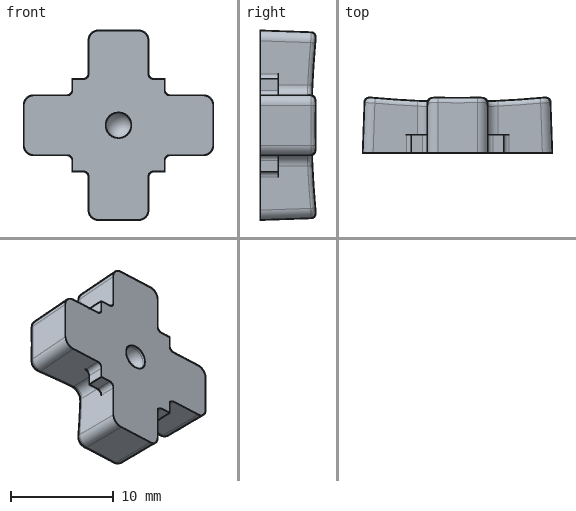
import cadquery as cq
import math

SPAN = 18.5
ARM_WIDTH = 5.87
TIP_DRAFT = 2.0
TIP_CORNER_RADIUS = 1.0
INNER_CORNER_RADIUS = 1.0
RIM_RADIUS = 0.5

DISH_RADIUS = 88.0
DISH_FLOOR = 4.99
BLANK_HEIGHT = 6.5
SELECTION_MARGIN = 0.5

STEP_SPAN = 9.03
STEP_HEIGHT = 1.77
STEP_FILLET = 0.5
PLATE_OVERLAP = 1.0

HOLE_DIAMETER = 2.5
HOLE_STRAIGHT_DEPTH = 0.3


def on_base():
    """XZ workplane whose normal points along +Y, so extrusions rise from the base."""
    return cq.Workplane("XZ").transformed(rotate=(180, 0, 0))


def drafted_bar():
    """One bar along X with drafted ends, rounded at its four tip corners."""
    half_base = SPAN / 2
    half_top = half_base - BLANK_HEIGHT * math.tan(math.radians(TIP_DRAFT))
    bar = (
        cq.Workplane("XY")
        .polyline([
            (-half_base, 0),
            (half_base, 0),
            (half_top, BLANK_HEIGHT),
            (-half_top, BLANK_HEIGHT),
        ])
        .close()
        .extrude(ARM_WIDTH / 2, both=True)
    )
    tip_edges = bar.faces("<X or >X").edges("<Z or >Z")
    return tip_edges.fillet(TIP_CORNER_RADIUS)


def cross_block():
    """Two crossed bars with rounded inner corners."""
    bar = drafted_bar()
    crossed = bar.union(bar.rotate((0, 0, 0), (0, 1, 0), 90))
    near_axis = ARM_WIDTH / 2 + SELECTION_MARGIN
    inner_corners = cq.selectors.BoxSelector(
        (-near_axis, 0, -near_axis),
        (near_axis, BLANK_HEIGHT, near_axis),
    )
    return crossed.edges("|Y").edges(inner_corners).fillet(INNER_CORNER_RADIUS)


def dish(block):
    """Hollow the +Y end with a large sphere and round the rim left around it."""
    ball = cq.Workplane("XY").sphere(DISH_RADIUS).translate((0, DISH_FLOOR + DISH_RADIUS, 0))
    hollowed = block.cut(ball)
    return hollowed.faces(">Y").edges().fillet(RIM_RADIUS)


def corner_steps():
    """Low plate in the corners between the arms, joined to the arms by small fillets."""
    half_arm = ARM_WIDTH / 2
    half_step = STEP_SPAN / 2
    reach = STEP_SPAN + 2 * PLATE_OVERLAP
    plate = on_base().rect(STEP_SPAN, STEP_SPAN).extrude(STEP_HEIGHT)
    plate = plate.union(on_base().rect(reach, ARM_WIDTH).extrude(STEP_HEIGHT))
    plate = plate.union(on_base().rect(ARM_WIDTH, reach).extrude(STEP_HEIGHT))

    mid_height = STEP_HEIGHT / 2
    for side_x in (-1, 1):
        for side_z in (-1, 1):
            for x, z in ((half_step, half_arm), (half_arm, half_step)):
                corner = cq.selectors.NearestToPointSelector((side_x * x, mid_height, side_z * z))
                plate = plate.edges("|Y").edges(corner).fillet(STEP_FILLET)
    return plate


def hole():
    """Round-bottomed blind hole opening at the base."""
    radius = HOLE_DIAMETER / 2
    depth = HOLE_STRAIGHT_DEPTH + radius
    return (
        cq.Workplane("XY")
        .lineTo(radius, 0)
        .lineTo(radius, HOLE_STRAIGHT_DEPTH)
        .radiusArc((0, depth), -radius)
        .close()
        .revolve(360, (0, 0, 0), (0, 1, 0))
    )


result = dish(cross_block()).union(corner_steps()).cut(hole())